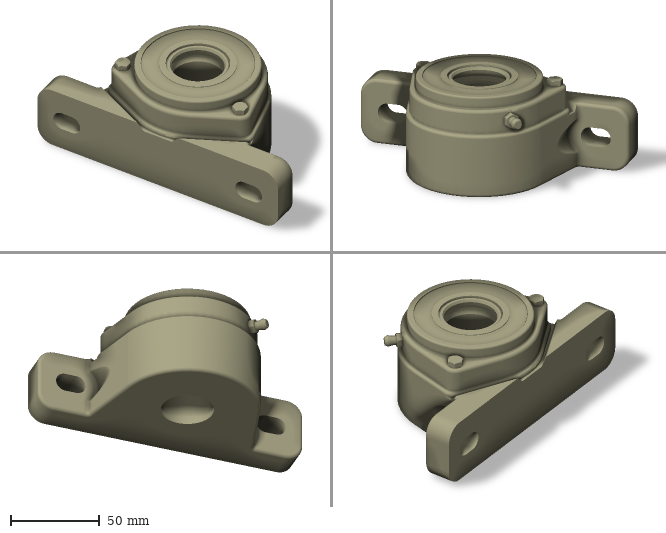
import cadquery as cq
import math


AXIS_Y = 42.9

FOOT_LENGTH = 160
FOOT_THICKNESS = 16.8
FOOT_HEIGHT = 38.5
FOOT_CORNER_RADIUS = 10.0
SLOT_SPACING = 121.0
SLOT_LENGTH = 17.8
SLOT_WIDTH = 11.2
SLOT_Z = FOOT_HEIGHT / 2
BODY_EDGE_RADIUS = 2.0
BODY_ROOT_RADIUS = 2.0

SIDE_ANGLE = 15
NOSE_ANGLE = 26.5
BARREL_TOP = 34.2

CASE_RADIUS = 39.5
CASE_LUG_RADIUS = 6.4
CASE_TOP = 51.5
CASE_EDGE_RADIUS = 2.0
STEP_WIDTH = 2.0
STEP_TOP = 37.1
STEP_EDGE_RADIUS = 1.8
STEP_ROOT_RADIUS = 1.0
BARREL_RADIUS = CASE_RADIUS + STEP_WIDTH

CLEARANCE_GAP = 1.1
CLEARANCE_SLOPE_WIDTH = 2.0
CLEARANCE_HALF_WIDTH = 64

SCALLOP_RADIUS = 12.6
SCALLOP_EDGE_RADIUS = 1.0

RIM_DIAMETER = 72
RIM_TOP = 58.5
RIM_EDGE_RADIUS = 1.1
RIM_ROOT_RADIUS = 0.8
BORE_DIAMETER = 64
MOUTH_DIAMETER = 64.6
MOUTH_DEPTH = 1.0

SHAFT_DIAMETER = 30.0
BEARING_TOP = 48.3
COVER_FACE_RECESS = 0.5
COVER_HUB_DIAMETER = 44.0
COVER_MOUTH_DIAMETER = 36.5

LIP_OUTER_DIAMETER = 34.2
LIP_TOP = 57.8
LIP_FACE_DIAMETER = 31.7
LIP_TIP_Z = 56.3
LIP_BOTTOM = 53.8
LIP_BOTTOM_DIAMETER = 32
LIP_GROOVE_DIAMETER = 35.5
LIP_GROOVE_Z = 57.1

CAVITY_DIAMETER = 42.9
CAVITY_MOUTH_DIAMETER = 38.7

BOLT_HEAD_WIDTH = 8
BOLT_HEAD_HEIGHT = 3.5
BOLT_SHANK_DIAMETER = 5.0
BOLT_SHANK_LENGTH = 9.6
HEX_CORNER_TRIM = 0.5
HEX_TURN = 30

NIPPLE_ANGLE = 135
NIPPLE_Z = 45.0
NIPPLE_SEAT = 39.2
NIPPLE_SEAT_DIAMETER = 9.6
NIPPLE_HEX_WIDTH = 7.5
NIPPLE_HEX_LENGTH = 3.4
NIPPLE_NECK_DIAMETER = 5.5
NIPPLE_HEAD_DIAMETER = 6.5
NIPPLE_TIP_DIAMETER = 4.6
NIPPLE_NECK_LENGTH = 2.4
NIPPLE_CONE_LENGTH = 2.4
NIPPLE_TIP_LENGTH = 2.0
NIPPLE_STEM_DIAMETER = 6.0
NIPPLE_STEM_LENGTH = 3.2

FLANK_NORMAL = 180 - SIDE_ANGLE
NOSE_NORMAL = 270 - NOSE_ANGLE
LUG_DIRECTION = (FLANK_NORMAL + NOSE_NORMAL) / 2
LUG_HALF_ANGLE = math.radians(NOSE_NORMAL - FLANK_NORMAL) / 2
LUG_DISTANCE = (CASE_RADIUS - CASE_LUG_RADIUS) / math.cos(LUG_HALF_ANGLE)



def polar(center, radius, degrees):
    """Point at a radius and direction from a centre in the XY plane."""
    angle = math.radians(degrees)
    return center[0] + radius * math.cos(angle), center[1] + radius * math.sin(angle)


def mirrored(point):
    """Matching point on the other side of the YZ plane."""
    return -point[0], point[1]


AXIS = (0, AXIS_Y)
LEFT_LUG = polar(AXIS, LUG_DISTANCE, LUG_DIRECTION)
BOLT_CENTERS = (LEFT_LUG, mirrored(LEFT_LUG))
BARREL_FLANK_TOP = polar(AXIS, BARREL_RADIUS, FLANK_NORMAL)


def case_outline(offset, z):
    """Case outline: two arcs about the shaft joined by flanks to two rounded lugs."""
    main = CASE_RADIUS + offset
    lug = CASE_LUG_RADIUS + offset
    flank_top = polar(AXIS, main, FLANK_NORMAL)
    flank_end = polar(LEFT_LUG, lug, FLANK_NORMAL)
    lug_middle = polar(LEFT_LUG, lug, LUG_DIRECTION)
    nose_start = polar(LEFT_LUG, lug, NOSE_NORMAL)
    nose_end = polar(AXIS, main, NOSE_NORMAL)
    return (
        cq.Workplane("XY", origin=(0, 0, z))
        .moveTo(*mirrored(flank_top))
        .threePointArc(polar(AXIS, main, 90), flank_top)
        .lineTo(*flank_end)
        .threePointArc(lug_middle, nose_start)
        .lineTo(*nose_end)
        .threePointArc(polar(AXIS, main, 270), mirrored(nose_end))
        .lineTo(*mirrored(nose_start))
        .threePointArc(mirrored(lug_middle), mirrored(flank_end))
        .close()
    )


def shaft_cylinder(diameter, z_bottom, z_top):
    """Cylinder about the shaft axis."""
    plane = cq.Workplane("XY", origin=(0, AXIS_Y, z_bottom))
    return plane.circle(diameter / 2).extrude(z_top - z_bottom)


def fillet_edge_at(body, point, radius):
    """Round the edge whose centre is nearest to a point, and its smooth continuation."""
    return body.edges(cq.selectors.NearestToPointSelector(point)).fillet(radius)


def trimmed_hexagon(plane, width, height):
    """Hexagonal prism with its corners trimmed at both ends."""
    across_corners = width / math.cos(math.pi / 6)
    prism = plane.polygon(6, across_corners).extrude(height)
    trim = plane.circle(across_corners / 2).extrude(height).edges().chamfer(HEX_CORNER_TRIM)
    return prism.intersect(trim)


def nipple_plane(rotation=0):
    """Workplane on the nipple seat, facing outward, with its X axis level."""
    seat = polar(AXIS, NIPPLE_SEAT, NIPPLE_ANGLE)
    outward = polar((0, 0), 1, NIPPLE_ANGLE)
    plane = cq.Plane(
        origin=(seat[0], seat[1], NIPPLE_Z),
        xDir=(-outward[1], outward[0], 0),
        normal=(outward[0], outward[1], 0),
    )
    return cq.Workplane(plane.rotated((0, 0, rotation)))



def barrel_flank_x(y):
    """X of the left flank of the barrel at a distance from the foot face."""
    top_x, top_y = BARREL_FLANK_TOP
    return top_x - (top_y - y) * math.tan(math.radians(SIDE_ANGLE))


def scalloped_barrel():
    """Barrel blank with a round-edged scallop in each flank beside the foot slots."""
    flank_foot = (barrel_flank_x(0), 0)
    barrel = (
        cq.Workplane("XY")
        .moveTo(*mirrored(BARREL_FLANK_TOP))
        .threePointArc(polar(AXIS, BARREL_RADIUS, 90), BARREL_FLANK_TOP)
        .lineTo(*flank_foot)
        .lineTo(*mirrored(flank_foot))
        .close()
        .extrude(FOOT_HEIGHT)
    )
    scallop_x = (SLOT_SPACING - SLOT_LENGTH + SLOT_WIDTH) / 2
    for x in (-scallop_x, scallop_x):
        scallop = (
            cq.Workplane("XZ", origin=(x, 0, SLOT_Z)).circle(SCALLOP_RADIUS).extrude(-AXIS_Y)
        )
        barrel = barrel.cut(scallop)
        rim_point = (x, FOOT_THICKNESS, SLOT_Z + SCALLOP_RADIUS)
        barrel = fillet_edge_at(barrel, rim_point, SCALLOP_EDGE_RADIUS)
    return barrel


def foot_and_barrel():
    """Foot plate with the barrel, all outer edges behind the foot face rounded."""
    foot = cq.Workplane("XY").box(
        FOOT_LENGTH, FOOT_THICKNESS, FOOT_HEIGHT, centered=(True, False, False)
    )
    body = foot.union(scalloped_barrel())
    root_x = barrel_flank_x(FOOT_THICKNESS)
    for x in (root_x, -root_x):
        body = fillet_edge_at(body, (x, FOOT_THICKNESS, 0), BODY_ROOT_RADIUS)
    body = body.edges("|Y").fillet(FOOT_CORNER_RADIUS)
    return body.edges("|Z").edges(">X").edges(">Y").fillet(BODY_EDGE_RADIUS)


def foot_clearance():
    """Sloped-wall cut that clears the foot in front of the case, down to the barrel top."""
    floor_distance = BARREL_RADIUS + CLEARANCE_GAP
    nose_slope = math.radians(NOSE_ANGLE)
    apex_y = AXIS_Y - floor_distance / math.cos(nose_slope)
    side_y = apex_y + CLEARANCE_HALF_WIDTH * math.tan(nose_slope)
    back_y = AXIS_Y + CLEARANCE_HALF_WIDTH
    depth = FOOT_HEIGHT - BARREL_TOP
    slope = math.degrees(math.atan(CLEARANCE_SLOPE_WIDTH / depth))
    left_side = (-CLEARANCE_HALF_WIDTH, side_y)
    left_back = (-CLEARANCE_HALF_WIDTH, back_y)
    return (
        cq.Workplane("XY", origin=(0, 0, BARREL_TOP))
        .polyline([(0, apex_y), mirrored(left_side), mirrored(left_back), left_back, left_side])
        .close()
        .extrude(depth, taper=-slope)
    )


def foot_slots():
    """Two long mounting slots through the foot."""
    return (
        cq.Workplane("XZ", origin=(0, 0, SLOT_Z))
        .pushPoints([(-SLOT_SPACING / 2, 0), (SLOT_SPACING / 2, 0)])
        .slot2D(SLOT_LENGTH, SLOT_WIDTH)
        .extrude(-FOOT_THICKNESS)
    )


def upper_case():
    """Case on its rounded step, with the round rim on top and blended roots."""
    step = case_outline(STEP_WIDTH, BARREL_TOP).extrude(STEP_TOP - BARREL_TOP)
    step = step.faces(">Z").edges().fillet(STEP_EDGE_RADIUS)
    wall = case_outline(0, BARREL_TOP).extrude(CASE_TOP - BARREL_TOP)
    wall = wall.faces(">Z").edges().fillet(CASE_EDGE_RADIUS)
    case = step.union(wall)
    flank_top = polar(AXIS, CASE_RADIUS, FLANK_NORMAL)
    flank_end = polar(LEFT_LUG, CASE_LUG_RADIUS, FLANK_NORMAL)
    flank_middle = ((flank_top[0] + flank_end[0]) / 2, (flank_top[1] + flank_end[1]) / 2)
    case = fillet_edge_at(case, (*flank_middle, STEP_TOP), STEP_ROOT_RADIUS)
    rim = shaft_cylinder(RIM_DIAMETER, BARREL_TOP, RIM_TOP)
    rim = rim.faces(">Z").edges().fillet(RIM_EDGE_RADIUS)
    case = case.union(rim)
    return fillet_edge_at(case, (*AXIS, CASE_TOP), RIM_ROOT_RADIUS)


def bolt_hole(center):
    """Blind hole that the bolt shank fills."""
    plane = cq.Workplane("XY", origin=(*center, CASE_TOP))
    return plane.circle(BOLT_SHANK_DIAMETER / 2).extrude(-BOLT_SHANK_LENGTH)


def nipple_recess():
    """Flat round seat in the case wall with a hole for the nipple stem."""
    seat = nipple_plane().circle(NIPPLE_SEAT_DIAMETER / 2).extrude(NIPPLE_HEX_LENGTH)
    hole = nipple_plane().circle(NIPPLE_STEM_DIAMETER / 2).extrude(-NIPPLE_STEM_LENGTH)
    return seat.union(hole)


def make_housing():
    body = foot_and_barrel().cut(foot_clearance()).cut(foot_slots())
    body = body.union(upper_case())
    body = body.cut(shaft_cylinder(BORE_DIAMETER, 0, RIM_TOP))
    body = body.cut(shaft_cylinder(MOUTH_DIAMETER, RIM_TOP - MOUTH_DEPTH, RIM_TOP))
    for center in BOLT_CENTERS:
        body = body.cut(bolt_hole(center))
    return body.cut(nipple_recess())



def make_bearing():
    """Plain ring that fills the housing bore below the end cover."""
    ring = shaft_cylinder(BORE_DIAMETER, 0, BEARING_TOP)
    return ring.cut(shaft_cylinder(SHAFT_DIAMETER, 0, BEARING_TOP))



def make_cover():
    """Disc with a raised hub and a shaft lip, revolved about the shaft axis."""
    face_z = RIM_TOP - COVER_FACE_RECESS
    cavity_cone_top = BEARING_TOP + (CAVITY_DIAMETER - CAVITY_MOUTH_DIAMETER) / 2
    profile = [
        (CAVITY_MOUTH_DIAMETER / 2, BEARING_TOP),
        (BORE_DIAMETER / 2, BEARING_TOP),
        (BORE_DIAMETER / 2, face_z),
        (COVER_HUB_DIAMETER / 2, face_z),
        (COVER_HUB_DIAMETER / 2, RIM_TOP),
        (COVER_MOUTH_DIAMETER / 2, RIM_TOP),
    ]
    profile += [
        (COVER_MOUTH_DIAMETER / 2, LIP_GROOVE_Z),
        (LIP_GROOVE_DIAMETER / 2, LIP_GROOVE_Z),
        (LIP_OUTER_DIAMETER / 2, LIP_TOP),
        (LIP_FACE_DIAMETER / 2, LIP_TOP),
        (SHAFT_DIAMETER / 2, LIP_TIP_Z),
        (LIP_BOTTOM_DIAMETER / 2, LIP_BOTTOM),
    ]
    profile += [
        (CAVITY_DIAMETER / 2, LIP_BOTTOM),
        (CAVITY_DIAMETER / 2, cavity_cone_top),
    ]
    plane = cq.Workplane("XZ", origin=(0, AXIS_Y, 0))
    return plane.polyline(profile).close().revolve(360, (0, 0, 0), (0, 1, 0))



def make_bolt(center):
    """Hexagon-head bolt seated on the case top."""
    plane = cq.Workplane("XY", origin=(*center, CASE_TOP))
    head_plane = plane.transformed(rotate=(0, 0, HEX_TURN))
    head = trimmed_hexagon(head_plane, BOLT_HEAD_WIDTH, BOLT_HEAD_HEIGHT)
    return head.union(plane.circle(BOLT_SHANK_DIAMETER / 2).extrude(-BOLT_SHANK_LENGTH))



def make_nipple():
    """Hexagon on a stem, with a necked spout revolved about the nipple axis."""
    hexagon = trimmed_hexagon(nipple_plane(HEX_TURN), NIPPLE_HEX_WIDTH, NIPPLE_HEX_LENGTH)
    stem = nipple_plane().circle(NIPPLE_STEM_DIAMETER / 2).extrude(-NIPPLE_STEM_LENGTH)
    neck_end = NIPPLE_HEX_LENGTH + NIPPLE_NECK_LENGTH
    head_end = neck_end + NIPPLE_CONE_LENGTH
    tip_end = head_end + NIPPLE_TIP_LENGTH
    seat = nipple_plane().plane
    side = cq.Workplane(cq.Plane(origin=seat.origin, xDir=seat.xDir, normal=(0, 0, -1)))
    profile = [
        (0, 0),
        (NIPPLE_NECK_DIAMETER / 2, 0),
        (NIPPLE_NECK_DIAMETER / 2, neck_end),
        (NIPPLE_HEAD_DIAMETER / 2, head_end),
        (NIPPLE_TIP_DIAMETER / 2, tip_end),
        (0, tip_end),
    ]
    spout = side.polyline(profile).close().revolve(360, (0, 0, 0), (0, 1, 0))
    return hexagon.union(stem).union(spout)


housing = make_housing()
bearing = make_bearing()
cover = make_cover()
bolts = [make_bolt(center) for center in BOLT_CENTERS]
nipple = make_nipple()

result = cq.Compound.makeCompound(
    [housing.val(), bearing.val(), cover.val(), *[bolt.val() for bolt in bolts], nipple.val()]
)